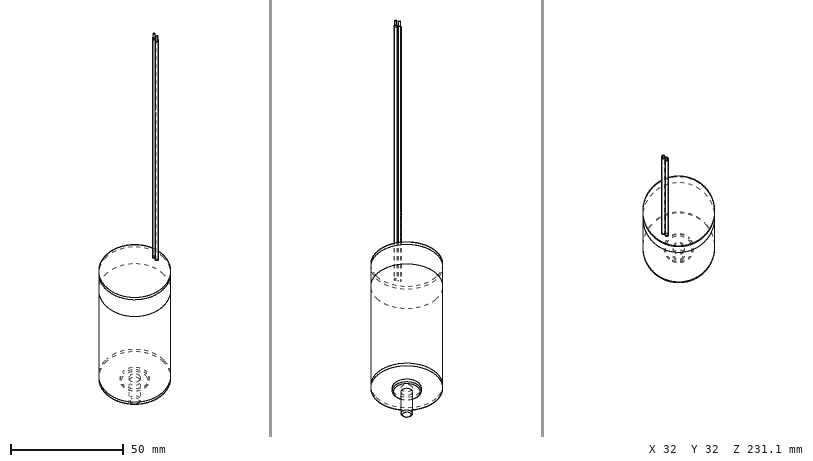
import cadquery as cq


casing_diameter = 32.0
casing_height = 70.0
end_plate_thickness = 1.5
rear_section_height = 12.5

boss_diameter = 13.0
boss_height = 2.0
boss_chamfer = 0.58

shaft_diameter = 5.0
shaft_length = 15.0
shaft_chamfer = 0.7

wire_diameter = 1.6
wire_spacing = 1.8
conductor_diameter = 1.0
wire_length = 146.1
bare_length = 3.0
wire_offset_y = 12.0
wire_count = 2

rear_section_bottom = casing_height - rear_section_height
rear_plate_bottom = casing_height - end_plate_thickness


def cylinder(diameter, bottom, top):
    """Solid cylinder on the Z axis between two levels."""
    return cq.Workplane("XY").workplane(offset=bottom).circle(diameter / 2).extrude(top - bottom)


def make_casing_section(bottom, top):
    """One full-diameter slice of the casing."""
    return cylinder(casing_diameter, bottom, top)


def make_bearing_boss():
    """Ring under the front plate with a chamfered lower rim and the shaft bore."""
    boss = cylinder(boss_diameter, -boss_height, 0).faces("<Z").chamfer(boss_chamfer)
    return boss.cut(cylinder(shaft_diameter, -boss_height, 0))


def make_shaft():
    """Shaft running from the front plate through the boss, with a chamfered tip."""
    return cylinder(shaft_diameter, -shaft_length, 0).faces("<Z").chamfer(shaft_chamfer)


def make_conductor(x):
    """Bare core running the full length of one wire."""
    core = cylinder(conductor_diameter, casing_height, casing_height + wire_length)
    return core.translate((x, wire_offset_y, 0))


def make_insulation(x):
    """Sleeve around one conductor, stripped at the free end."""
    sleeve_top = casing_height + wire_length - bare_length
    sleeve = cylinder(wire_diameter, casing_height, sleeve_top)
    bore = cylinder(conductor_diameter, casing_height, sleeve_top)
    return sleeve.cut(bore).translate((x, wire_offset_y, 0))


front_plate = make_casing_section(0, end_plate_thickness)
gearbox_section = make_casing_section(end_plate_thickness, rear_section_bottom)
rear_section = make_casing_section(rear_section_bottom, rear_plate_bottom)
rear_plate = make_casing_section(rear_plate_bottom, casing_height)
bearing_boss = make_bearing_boss()
shaft = make_shaft()

conductors = []
insulations = []
for index in range(wire_count):
    wire_x = (index - (wire_count - 1) / 2) * wire_spacing
    conductors.append(make_conductor(wire_x).val())
    insulations.append(make_insulation(wire_x).val())

result = cq.Compound.makeCompound([
    front_plate.val(),
    gearbox_section.val(),
    rear_section.val(),
    rear_plate.val(),
    bearing_boss.val(),
    shaft.val(),
    *conductors,
    *insulations,
])